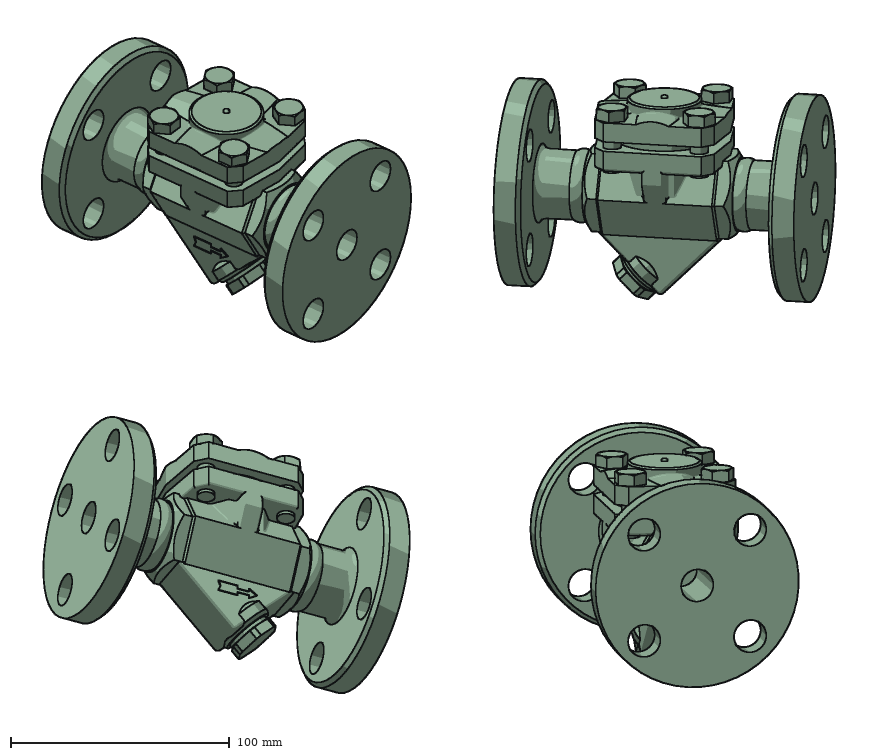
import cadquery as cq
import math


LENGTH = 140.0
FLANGE_D = 95.0
FLANGE_T = 12.2
FLANGE_CHAMFER = 2.0
FLANGE_HOLE_D = 15.0
FLANGE_HOLE_CIRCLE_D = 70.0
PIPE_D = 32.0
PIPE_ROOT_D = 36.4
PIPE_ROOT_LENGTH = 3.8
BORE_D = 15.0
BEAD_D = 34.0
BEAD_LENGTH = 6.3
BEAD_OVERLAP = 0.1

BODY_LENGTH = 70.0
BODY_END_FLATS = 37.0
BODY_END_FACE_D = 34.0
BODY_END_CONE_LENGTH = 3.2
BODY_MID_FLATS = 39.0
BODY_MID_LENGTH = 55.2
BODY_MID_BEVEL = 1.0

STRAINER_FLANK_OFFSET = 33.7
STRAINER_ROUND = 2.0

PLUG_AXIS_SHIFT = -28.1
BOSS_D = 26.8
BOSS_START = 28.2
BOSS_RIM = 33.1
BOSS_END = 35.0
BOSS_END_D = 24.4
PLUG_COLLAR_D = 21.0
PLUG_HEX_START = 37.0
PLUG_HEX_END = 42.0
PLUG_HEX_FLATS = 21.4
PLUG_HEX_TURNED_D = 23.3

COVER_HALF_Y = 28.2
COVER_PEAK_X = 30.8
COVER_CORNER_X = 27.8
COVER_CORNER_Y = 22.9
COVER_FLAT_HALF_X = 22.8
BODY_FLANGE_BOTTOM = 15.3
BODY_FLANGE_TOP = 25.0
BODY_FLANGE_ROUND = 1.5
COVER_BOTTOM = 29.5
COVER_TOP = 38.5
GASKET_D = 45.8

DOME_D = 34.0
DOME_TOP = 44.0
DOME_CHAMFER_Z = 0.8
DOME_CHAMFER_R = 1.1
DOME_ROOT_ROUND = 0.8
PIP_D = 3.0
PIP_HEIGHT = 1.0
PIP_ROUND = 0.9
RIDGE_R_X = 22.0
RIDGE_R_Y = 17.5
RIDGE_RISE_PER_MM = 0.09
RIDGE_CREST_Y = 40.2
RIDGE_CREST_X = 39.7

BOLT_PITCH = 40.6
BOLT_D = 8.2
BOLT_BOTTOM = 13.7
BOLT_HEAD_FLATS = 13.0
BOLT_HEAD_CHAMFER = 0.6

NECK_TIP_X = 25.8
NECK_FLAT_HALF_X = 9.0
NECK_HALF_Y = 21.0
NECK_ROUND = 1.5
RIB_WIDTH = 10.4
RIB_ROUND = 1.5
RIB_ROOT_ROUND = 1.4

ARROW_HEIGHT = 0.5
ARROW_Z = -26.5
ARROW_TAIL_X = -9.8
ARROW_SHAFT_X = 0.0
ARROW_HEAD_X = 5.8
ARROW_TIP_X = 9.8
ARROW_TAIL_HALF = 2.6
ARROW_SHAFT_HALF = 1.0
ARROW_NOTCH = 1.2

EDGE_GAP = 0.1

SQRT2 = math.sqrt(2)
SQRT3 = math.sqrt(3)
FLANK_REACH = STRAINER_FLANK_OFFSET * SQRT2
BODY_CORNER_Y = BODY_MID_FLATS / SQRT3
BODY_BOTTOM_HALF_Y = BODY_CORNER_Y / 2


def hexagon_diameter(flats):
    """Corner-to-corner size of a hexagon with the given size across flats."""
    return 2 * flats / SQRT3


def hex_bar(flats, length):
    """Hexagonal bar centred on the X axis, with two corners in the XY plane."""
    return cq.Workplane("YZ").polygon(6, hexagon_diameter(flats)).extrude(length / 2, both=True)


def revolve_about_x(points):
    """Solid of revolution about X from a closed (x, radius) outline."""
    return cq.Workplane("XY").polyline(points).close().revolve(360, (0, 0, 0), (1, 0, 0))


def pipe_end():
    """Flange, pipe stub and weld bead at the +X end."""
    end_x = LENGTH / 2
    back_x = end_x - FLANGE_T
    root_x = back_x - PIPE_ROOT_LENGTH
    bead_x = BODY_LENGTH / 2 - BEAD_OVERLAP
    flange_r = FLANGE_D / 2
    pipe_r = PIPE_D / 2
    profile = (
        cq.Workplane("XY")
        .moveTo(0, 0)
        .lineTo(end_x, 0)
        .lineTo(end_x, flange_r)
        .lineTo(back_x + FLANGE_CHAMFER, flange_r)
        .lineTo(back_x, flange_r - FLANGE_CHAMFER)
        .lineTo(back_x, PIPE_ROOT_D / 2)
    )
    root_step = PIPE_ROOT_D / 2 - pipe_r
    root_r = (PIPE_ROOT_LENGTH**2 + root_step**2) / (2 * root_step)
    mid_x = PIPE_ROOT_LENGTH / 2
    mid_r = pipe_r + root_r - math.sqrt(root_r**2 - mid_x**2)
    profile = (
        profile.threePointArc((root_x + mid_x, mid_r), (root_x, pipe_r))
        .lineTo(0, pipe_r)
        .close()
    )
    end = profile.revolve(360, (0, 0, 0), (1, 0, 0))
    bead = (
        cq.Workplane("XY")
        .moveTo(bead_x, 0)
        .lineTo(bead_x, pipe_r)
        .threePointArc((bead_x + BEAD_LENGTH / 2, BEAD_D / 2), (bead_x + BEAD_LENGTH, pipe_r))
        .lineTo(bead_x + BEAD_LENGTH, 0)
        .close()
        .revolve(360, (0, 0, 0), (1, 0, 0))
    )
    hole_pitch = FLANGE_HOLE_CIRCLE_D / SQRT2
    holes = (
        cq.Workplane("YZ", origin=(back_x, 0, 0))
        .rect(hole_pitch, hole_pitch, forConstruction=True)
        .vertices()
        .circle(FLANGE_HOLE_D / 2)
        .extrude(FLANGE_T)
    )
    return end.union(bead).cut(holes)


def bores():
    """Blind bores from the flange faces to the ends of the body."""
    depth = (LENGTH - BODY_LENGTH) / 2
    bore = cq.Workplane("YZ", origin=(BODY_LENGTH / 2, 0, 0)).circle(BORE_D / 2).extrude(depth)
    return bore.union(bore.mirror("YZ"))


def body():
    """Hexagonal body: a thicker middle between cone-turned ends."""
    half = BODY_LENGTH / 2
    face_r = BODY_END_FACE_D / 2
    cone_x = half - BODY_END_CONE_LENGTH
    cone_r = hexagon_diameter(BODY_END_FLATS) / 2
    turned = revolve_about_x(
        [(-half, 0), (half, 0), (half, face_r), (cone_x, cone_r), (-cone_x, cone_r), (-half, face_r)]
    )
    ends = hex_bar(BODY_END_FLATS, BODY_LENGTH).intersect(turned)
    middle = hex_bar(BODY_MID_FLATS, BODY_MID_LENGTH).faces("<X or >X").chamfer(BODY_MID_BEVEL)
    return ends.union(middle)


def strainer_housing():
    """Triangular block hanging below the body, rounded along its flanks and tip."""
    block = (
        cq.Workplane("XZ")
        .polyline([(-FLANK_REACH, 0), (FLANK_REACH, 0), (0, -FLANK_REACH)])
        .close()
        .extrude(BODY_BOTTOM_HALF_Y, both=True)
    )
    block = block.edges("|Y and <Z").fillet(STRAINER_ROUND)
    block = block.faces("<Y or >Y").edges("not #Z").fillet(STRAINER_ROUND)
    top = -BODY_END_FLATS / 2
    keep = cq.Workplane("XY", origin=(0, 0, top)).rect(LENGTH, LENGTH).extrude(-FLANK_REACH)
    return block.intersect(keep)


def strainer_plug():
    """Boss with a 45 degree back cone, followed by the plug collar and turned hexagon head."""
    axis = cq.Plane(
        origin=(PLUG_AXIS_SHIFT / 2, 0, PLUG_AXIS_SHIFT / 2), xDir=(1, 0, 1), normal=(1, 0, -1)
    )
    boss_r = BOSS_D / 2
    collar_r = PLUG_COLLAR_D / 2
    outline = [
        (0, BOSS_START - boss_r),
        (boss_r, BOSS_START),
        (boss_r, BOSS_RIM),
        (BOSS_END_D / 2, BOSS_END),
        (collar_r, BOSS_END),
        (collar_r, PLUG_HEX_START),
        (0, PLUG_HEX_START),
    ]
    section = cq.Plane(origin=axis.origin, xDir=(1, 0, 1), normal=(0, 1, 0))
    turned = cq.Workplane(section).polyline(outline).close().revolve(360, (0, 0, 0), (0, 1, 0))
    head_length = PLUG_HEX_END - PLUG_HEX_START
    base = cq.Workplane(axis).workplane(offset=PLUG_HEX_START)
    head = base.polygon(6, hexagon_diameter(PLUG_HEX_FLATS)).extrude(head_length)
    head = head.intersect(base.circle(PLUG_HEX_TURNED_D / 2).extrude(head_length))
    return turned.union(head)


def cover_outline(bottom, height):
    """Plate with the outline shared by the cover and the body flange."""
    quarter = [
        (COVER_PEAK_X, 0),
        (COVER_CORNER_X, COVER_CORNER_Y),
        (COVER_FLAT_HALF_X, COVER_HALF_Y),
    ]
    upper = quarter + [(-x, y) for x, y in reversed(quarter)]
    lower = [(-x, -y) for x, y in upper[1:-1]]
    return cq.Workplane("XY", origin=(0, 0, bottom)).polyline(upper + lower).close().extrude(height)


def body_with_neck():
    """Body carrying the neck, with a fillet where the neck meets the upper flats."""
    quarter = [(NECK_TIP_X, 0), (NECK_FLAT_HALF_X, NECK_HALF_Y)]
    upper = quarter + [(-x, y) for x, y in reversed(quarter)]
    lower = [(-x, -y) for x, y in upper[1:-1]]
    neck = cq.Workplane("XY").polyline(upper + lower).close().extrude(BODY_FLANGE_TOP)
    neck = neck.faces("<Y or >Y").edges("|Z").fillet(NECK_ROUND)
    joined = body().union(neck)
    for side in (-1, 1):
        around_root = cq.selectors.BoxSelector(
            (-NECK_TIP_X, side * BODY_BOTTOM_HALF_Y, EDGE_GAP),
            (NECK_TIP_X, side * BODY_CORNER_Y, BODY_FLANGE_BOTTOM),
        )
        joined = joined.edges(around_root).edges("not |Z").fillet(NECK_ROUND)
    return joined


def ribs():
    """Rib on each side of the neck, undercut along the plane of the body's lower flat."""
    reach_z = (COVER_HALF_Y - BODY_CORNER_Y) * SQRT3
    upper = [(BODY_CORNER_Y, 0), (COVER_HALF_Y, reach_z), (COVER_HALF_Y, BODY_FLANGE_TOP)]
    outline = upper + [(-y, z) for y, z in reversed(upper)]
    web = cq.Workplane("YZ").polyline(outline).close().extrude(RIB_WIDTH / 2, both=True)
    web = web.edges("not <Z").edges("not >Z").fillet(RIB_ROUND)
    stem_y = NECK_HALF_Y + RIB_ROOT_ROUND + EDGE_GAP
    wall_width = RIB_WIDTH + 2 * (RIB_ROOT_ROUND + EDGE_GAP)
    wall = cq.Workplane("XY").rect(wall_width, 2 * NECK_HALF_Y).extrude(BODY_FLANGE_TOP)
    stem = cq.Workplane("XY").rect(RIB_WIDTH, 2 * stem_y).extrude(BODY_FLANGE_TOP)
    inner_corners = cq.selectors.BoxSelector(
        (-RIB_WIDTH / 2 - EDGE_GAP, -NECK_HALF_Y - EDGE_GAP, 0),
        (RIB_WIDTH / 2 + EDGE_GAP, NECK_HALF_Y + EDGE_GAP, BODY_FLANGE_TOP),
    )
    root = wall.union(stem).edges("|Z").edges(inner_corners).fillet(RIB_ROOT_ROUND)
    return web.union(root.cut(stem))


def body_flange():
    """Flange on top of the body, rounded along its lower edge."""
    plate = cover_outline(BODY_FLANGE_BOTTOM, BODY_FLANGE_TOP - BODY_FLANGE_BOTTOM)
    return plate.faces("<Z").edges().fillet(BODY_FLANGE_ROUND)


def ridge(angle, reach, crest, radius):
    """Round-backed ridge at the given angle about Z, rising from the cover edge to the dome."""
    centre_z = crest - radius
    inner_z = centre_z + reach * RIDGE_RISE_PER_MM
    plane = cq.Plane(
        origin=(0, 0, inner_z), xDir=(0, 1, 0), normal=(1, 0, -RIDGE_RISE_PER_MM)
    )
    bar = cq.Workplane(plane).circle(radius).extrude(2 * reach)
    return bar.rotate((0, 0, 0), (0, 0, 1), angle)


def cover():
    """Cover plate with gasket, four ridges, central dome and pip."""
    plate = cover_outline(COVER_BOTTOM, COVER_TOP - COVER_BOTTOM)
    envelope = cover_outline(COVER_BOTTOM, DOME_TOP - COVER_BOTTOM)
    for angle, reach, crest, radius in (
        (0, COVER_PEAK_X, RIDGE_CREST_X, RIDGE_R_X),
        (90, COVER_HALF_Y, RIDGE_CREST_Y, RIDGE_R_Y),
        (180, COVER_PEAK_X, RIDGE_CREST_X, RIDGE_R_X),
        (270, COVER_HALF_Y, RIDGE_CREST_Y, RIDGE_R_Y),
    ):
        plate = plate.union(ridge(angle, reach, crest, radius).intersect(envelope))
    dome_r = DOME_D / 2
    rim_z = DOME_TOP - DOME_CHAMFER_Z
    dome = (
        cq.Workplane("XZ")
        .polyline(
            [
                (0, COVER_BOTTOM),
                (dome_r, COVER_BOTTOM),
                (dome_r, rim_z),
                (dome_r - DOME_CHAMFER_R, DOME_TOP),
                (0, DOME_TOP),
            ]
        )
        .close()
        .revolve(360, (0, 0, 0), (0, 1, 0))
    )
    pip = cq.Workplane("XY", origin=(0, 0, DOME_TOP)).circle(PIP_D / 2).extrude(PIP_HEIGHT)
    pip = pip.faces(">Z").edges().fillet(PIP_ROUND)
    gasket_height = COVER_BOTTOM - BODY_FLANGE_TOP
    gasket = cq.Workplane("XY", origin=(0, 0, BODY_FLANGE_TOP)).circle(GASKET_D / 2)
    plate = plate.union(dome)
    around_root = cq.selectors.BoxSelector(
        (-dome_r - EDGE_GAP, -dome_r - EDGE_GAP, COVER_TOP - EDGE_GAP),
        (dome_r + EDGE_GAP, dome_r + EDGE_GAP, rim_z - EDGE_GAP),
    )
    plate = plate.edges(around_root).edges("not |Z").fillet(DOME_ROOT_ROUND)
    return plate.union(pip).union(gasket.extrude(gasket_height))


def bolt(x, y, turn):
    """Cover bolt with a chamfered hexagon head; turn is the head angle in degrees."""
    head_height = DOME_TOP - COVER_TOP
    corner_r = hexagon_diameter(BOLT_HEAD_FLATS) / 2
    head = cq.Workplane("XY").polygon(6, 2 * corner_r).extrude(head_height)
    turned = cq.Workplane("XY").circle(corner_r).extrude(head_height)
    turned = turned.faces(">Z").edges().chamfer(BOLT_HEAD_CHAMFER, corner_r - BOLT_HEAD_FLATS / 2)
    head = head.intersect(turned).rotate((0, 0, 0), (0, 0, 1), turn)
    shank_length = COVER_TOP - BOLT_BOTTOM
    shank = cq.Workplane("XY").circle(BOLT_D / 2).extrude(-shank_length)
    return head.union(shank).translate((x, y, COVER_TOP))


def flow_arrow():
    """Raised arrow on the -Y side of the strainer housing, pointing along +X."""
    upper = [
        (ARROW_TAIL_X, ARROW_TAIL_HALF),
        (ARROW_SHAFT_X, ARROW_TAIL_HALF),
        (ARROW_SHAFT_X, ARROW_SHAFT_HALF),
        (ARROW_HEAD_X, ARROW_SHAFT_HALF),
        (ARROW_HEAD_X, ARROW_TAIL_HALF),
    ]
    lower = [(x, -z) for x, z in reversed(upper)]
    outline = upper + [(ARROW_TIP_X, 0)] + lower + [(ARROW_TAIL_X + ARROW_NOTCH, 0)]
    face = cq.Workplane("XZ", origin=(0, -BODY_BOTTOM_HALF_Y, ARROW_Z))
    return face.polyline(outline).close().extrude(ARROW_HEIGHT)


right_end = pipe_end()
result = (
    body_with_neck()
    .union(ribs())
    .union(body_flange())
    .union(cover())
    .union(strainer_housing())
    .union(strainer_plug())
    .union(flow_arrow())
    .union(right_end)
    .union(right_end.mirror("YZ"))
)
for side_x in (-1, 1):
    for side_y in (-1, 1):
        head_turn = 0 if side_x * side_y < 0 else 30
        result = result.union(bolt(side_x * BOLT_PITCH / 2, side_y * BOLT_PITCH / 2, head_turn))
result = result.cut(bores())